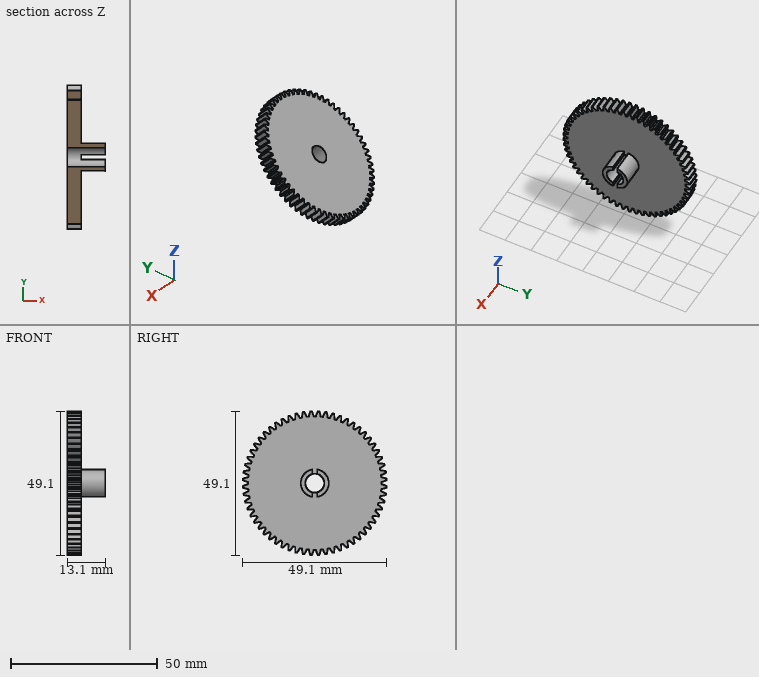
import cadquery as cq
import math

overall_height = 49.15
overall_length = 13.05
gear_thickness = 4.8

tooth_count = 60
root_radius = 22.8
tip_width = 0.5
mid_width = 1.25
root_width = 1.7

hub_diameter = 9.55
bore_diameter = 6.4
slot_width = 1.55

tooth_pitch_angle = 2 * math.pi / tooth_count

half_pitch_angle = tooth_pitch_angle / 2
tip_flat = (overall_height - tip_width * math.sin(half_pitch_angle)) / (2 * math.cos(half_pitch_angle))
tip_radius = math.hypot(tip_flat, tip_width / 2)
mid_radius = (root_radius + tip_radius) / 2


def rim_point(radius, angle):
    """Point at an angle around the gear axis, in the YZ plane."""
    return (radius * math.cos(angle), radius * math.sin(angle))


def half_angle(width, radius):
    """Half the angle taken up by a tooth of the given width at a radius."""
    return math.asin(width / 2 / radius)


def make_gear():
    """Toothed disc: each tooth has two curved flanks, a tip arc and a root arc."""
    root_half = half_angle(root_width, root_radius)
    mid_half = half_angle(mid_width, mid_radius)
    tip_half = half_angle(tip_width, tip_radius)
    outline = cq.Workplane("YZ").moveTo(*rim_point(root_radius, half_pitch_angle - root_half))
    for tooth in range(tooth_count):
        centre = half_pitch_angle + tooth * tooth_pitch_angle
        gap_middle = centre + half_pitch_angle
        next_start = centre + tooth_pitch_angle - root_half
        outline = (
            outline
            .threePointArc(rim_point(mid_radius, centre - mid_half), rim_point(tip_radius, centre - tip_half))
            .threePointArc(rim_point(tip_radius, centre), rim_point(tip_radius, centre + tip_half))
            .threePointArc(rim_point(mid_radius, centre + mid_half), rim_point(root_radius, centre + root_half))
            .threePointArc(rim_point(root_radius, gap_middle), rim_point(root_radius, next_start))
        )
    return outline.close().extrude(gear_thickness)


def make_hub():
    """Round hub on the +X face, split in two halves by a slot along Z."""
    hub_length = overall_length - gear_thickness
    gear_face = cq.Workplane("YZ", origin=(gear_thickness, 0, 0))
    hub = gear_face.circle(hub_diameter / 2).extrude(hub_length)
    slot = gear_face.rect(slot_width, hub_diameter).extrude(hub_length)
    return hub.cut(slot)


bore = cq.Workplane("YZ").circle(bore_diameter / 2).extrude(overall_length)

result = make_gear().union(make_hub()).cut(bore)